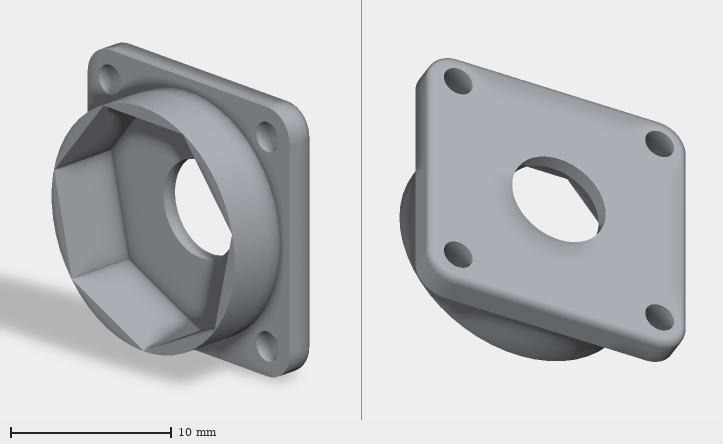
import cadquery as cq

plate_side = 18.0
total_depth = 6.0
plate_thickness = 2.0
corner_radius = 2.0
back_edge_radius = 0.5

boss_diameter = 16.3
boss_length = total_depth - plate_thickness

pocket_sides = 7
pocket_corner_gap = 0.04
pocket_diameter = boss_diameter - 2 * pocket_corner_gap
floor_thickness = plate_thickness / 2
pocket_depth = total_depth - floor_thickness

center_hole_diameter = 6.5
screw_hole_diameter = 2.0
screw_spacing = plate_side - 2 * corner_radius


def front_plane(y):
    """Plane at the given Y, with X right, Z up and its normal toward -Y."""
    return cq.Workplane("XZ", origin=(0, y, 0))


def make_plate():
    """Square plate with round corners and a rounded back rim."""
    plate = front_plane(total_depth).rect(plate_side, plate_side).extrude(plate_thickness)
    plate = plate.edges("|Y").fillet(corner_radius)
    return plate.faces(">Y").edges().fillet(back_edge_radius)


def make_boss():
    """Round boss in front of the plate."""
    return front_plane(boss_length).circle(boss_diameter / 2).extrude(boss_length)


def make_pocket():
    """Seven-sided pocket with one corner pointing straight down."""
    pocket = front_plane(pocket_depth).transformed(rotate=(0, 0, -90))
    return pocket.polygon(pocket_sides, pocket_diameter).extrude(pocket_depth)


def make_holes():
    """Central through hole and a screw hole at the center of each corner arc."""
    center_hole = front_plane(total_depth).circle(center_hole_diameter / 2).extrude(total_depth)
    screw_holes = (
        front_plane(total_depth)
        .rect(screw_spacing, screw_spacing, forConstruction=True)
        .vertices()
        .circle(screw_hole_diameter / 2)
        .extrude(plate_thickness)
    )
    return center_hole, screw_holes


result = make_plate().union(make_boss()).cut(make_pocket())
for hole in make_holes():
    result = result.cut(hole)